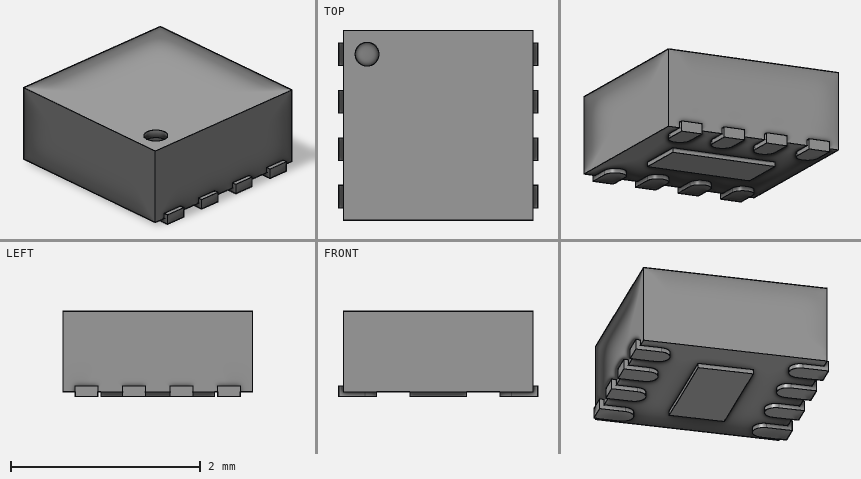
import cadquery as cq

body_size = 2.0
total_height = 0.9
standoff = 0.05
body_height = total_height - standoff

mark_diameter = 0.25
mark_depth = 0.09
mark_offset = 0.75

terminals_per_side = 4
terminal_pitch = 0.5
terminal_width = 0.24
terminal_overhang = 0.05
terminal_height = 0.1125
terminal_length = 0.4

pad_length_x = 0.6
pad_length_y = 1.2


def make_body():
    """Square block with the pin-1 mark."""
    block = (
        cq.Workplane("XY")
        .workplane(offset=standoff)
        .rect(body_size, body_size)
        .extrude(body_height)
    )
    mark = (
        cq.Workplane("XY")
        .workplane(offset=total_height - mark_depth)
        .center(-mark_offset, mark_offset)
        .circle(mark_diameter / 2)
        .extrude(mark_depth)
    )
    return block.cut(mark)


def make_terminal(side, y):
    """L-shaped terminal on the -X or +X side (side = -1 or +1): round-tipped foot plus lip up the body."""
    half_width = terminal_width / 2
    body_side = side * body_size / 2
    outer_face = body_side + side * terminal_overhang
    tip = outer_face - side * terminal_length
    tip_start = tip + side * half_width
    foot = (
        cq.Workplane("XY")
        .moveTo(outer_face, y - half_width)
        .lineTo(tip_start, y - half_width)
        .threePointArc((tip, y), (tip_start, y + half_width))
        .lineTo(outer_face, y + half_width)
        .close()
        .extrude(standoff)
    )
    lip = (
        cq.Workplane("XY")
        .center((body_side + outer_face) / 2, y)
        .rect(terminal_overhang, terminal_width)
        .extrude(terminal_height)
    )
    return foot.union(lip)


def make_thermal_pad():
    """Flat rectangular pad under the middle of the body."""
    return cq.Workplane("XY").rect(pad_length_x, pad_length_y).extrude(standoff)


body = make_body()
thermal_pad = make_thermal_pad()

first_terminal_y = -terminal_pitch * (terminals_per_side - 1) / 2
terminals = []
for side in (-1, 1):
    for index in range(terminals_per_side):
        terminals.append(make_terminal(side, first_terminal_y + index * terminal_pitch))

result = cq.Compound.makeCompound(
    [body.val(), thermal_pad.val(), *[terminal.val() for terminal in terminals]]
)